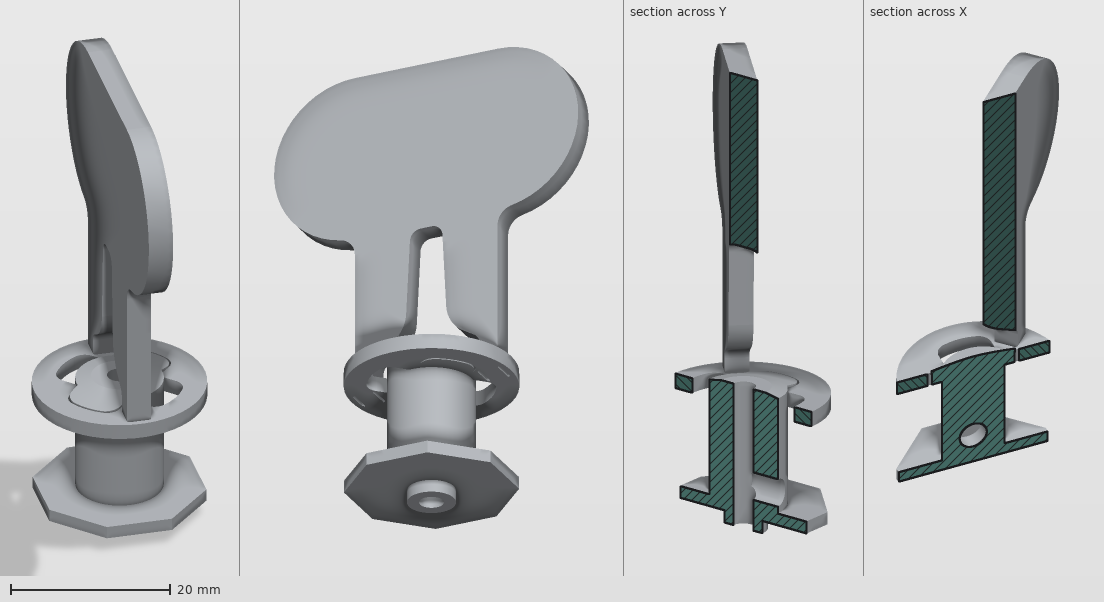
import cadquery as cq
import math


FOOT_RADIUS = 3.1
FLANGE_BOTTOM = 1.65
FLANGE_THICKNESS = 1.65
FLANGE_SIDES = 8
FLANGE_ACROSS_FLATS = 20.35
SHANK_RADIUS = 5.6
BORE_RADIUS = 1.6
CROWN_TOP = 19.0
CROWN_FLAT_RADIUS = 3.6
CROWN_EDGE_RISE = 0.05
LOBE_REACH = 7.95
LOBE_CORNER_RADIUS = 2.25
SIDE_HOLE_RADIUS = 1.8
SIDE_HOLE_HEIGHT = 6.0

LOBE_WIDTH = 7.15

WASHER_RADIUS = 11.0
WASHER_BOTTOM = 16.2
WASHER_THICKNESS = 2.0
OPENING_REACH = 8.2
OPENING_CORNER_RADIUS = 1.8
LEG_SLOT_CLEARANCE = 0.35
LEG_SLOT_CORNER_RADIUS = LEG_SLOT_CLEARANCE

HANDLE_ANGLE = -45
HANDLE_THICKNESS = 3.15
HANDLE_TOP = 60.6
HEAD_WIDTH = 42.2
HEAD_RADIUS = 11.2
NECK_FILLET = 2.4
GAP_TOP = 37.7
GAP_TOP_HALF_WIDTH = 2.2
GAP_TOP_FILLET = 1.5
GAP_WAIST_HALF_WIDTH = 2.9
GAP_WAIST_HEIGHT = 23.55
GAP_WAIST_FILLET = 4.85
GAP_FOOT_HALF_WIDTH = 7.4
GAP_SHOULDER_HEIGHT = 20.9
GAP_SHOULDER_FILLET = 1.45

FLANGE_TOP = FLANGE_BOTTOM + FLANGE_THICKNESS
WASHER_TOP = WASHER_BOTTOM + WASHER_THICKNESS
CROWN_EDGE = WASHER_TOP + CROWN_EDGE_RISE
LEG_OUTER = HEAD_WIDTH / 2 - HEAD_RADIUS
LEG_WIDTH = LEG_OUTER - GAP_FOOT_HALF_WIDTH
LEG_MIDDLE = LEG_OUTER - LEG_WIDTH / 2


def cylinder(radius, bottom, top):
    """Upright cylinder on the Z axis."""
    return cq.Workplane("XY").workplane(offset=bottom).circle(radius).extrude(top - bottom)


def lobe_bar(reach, corner_radius, bottom, top):
    """Bar along Y that ends in a round-cornered lobe on each side of the Z axis."""
    strip = cq.Workplane("XY").workplane(offset=bottom).rect(LOBE_WIDTH, 2 * reach).extrude(top - bottom)
    return (
        cylinder(reach, bottom, top)
        .intersect(strip)
        .edges("|Z")
        .fillet(corner_radius)
    )


def turned(body):
    """Turn a body from the XZ plane to the handle's direction."""
    return body.rotate((0, 0, 0), (0, 0, 1), HANDLE_ANGLE)


def make_lobed_head():
    """Top of the stud: two lobes that fill the washer's thickness, under a shallow cone."""
    lobes = lobe_bar(LOBE_REACH, LOBE_CORNER_RADIUS, WASHER_BOTTOM, CROWN_TOP)
    crown = (
        cq.Workplane("XZ")
        .moveTo(0, WASHER_BOTTOM)
        .lineTo(LOBE_REACH, WASHER_BOTTOM)
        .lineTo(LOBE_REACH, CROWN_EDGE)
        .lineTo(CROWN_FLAT_RADIUS, CROWN_TOP)
        .lineTo(0, CROWN_TOP)
        .close()
        .revolve(360, (0, 0, 0), (0, 1, 0))
    )
    return cylinder(SHANK_RADIUS, WASHER_BOTTOM, CROWN_TOP).union(lobes).intersect(crown)


def make_stud():
    flange_corner_radius = FLANGE_ACROSS_FLATS / 2 / math.cos(math.pi / FLANGE_SIDES)
    flange = (
        cq.Workplane("XY")
        .workplane(offset=FLANGE_BOTTOM)
        .transformed(rotate=(0, 0, 180 / FLANGE_SIDES))
        .polygon(FLANGE_SIDES, 2 * flange_corner_radius)
        .extrude(FLANGE_THICKNESS)
    )
    side_hole = (
        cq.Workplane("YZ")
        .center(0, SIDE_HOLE_HEIGHT)
        .circle(SIDE_HOLE_RADIUS)
        .extrude(-SHANK_RADIUS)
    )
    return (
        cylinder(FOOT_RADIUS, 0, FLANGE_BOTTOM)
        .union(flange)
        .union(cylinder(SHANK_RADIUS, FLANGE_TOP, WASHER_BOTTOM))
        .union(make_lobed_head())
        .cut(cylinder(BORE_RADIUS, 0, CROWN_TOP))
        .cut(side_hole)
    )


def make_washer():
    leg_slots = (
        cq.Workplane("XY")
        .workplane(offset=WASHER_BOTTOM)
        .pushPoints([(-LEG_MIDDLE, 0), (LEG_MIDDLE, 0)])
        .rect(LEG_WIDTH + 2 * LEG_SLOT_CLEARANCE, HANDLE_THICKNESS)
        .extrude(WASHER_THICKNESS)
        .edges("|Z")
        .fillet(LEG_SLOT_CORNER_RADIUS)
    )
    arms = lobe_bar(OPENING_REACH, OPENING_CORNER_RADIUS, WASHER_BOTTOM, WASHER_TOP)
    cross_arms = arms.rotate((0, 0, 0), (0, 0, 1), 90)
    return (
        cylinder(WASHER_RADIUS, WASHER_BOTTOM, WASHER_TOP)
        .cut(cylinder(SHANK_RADIUS, WASHER_BOTTOM, WASHER_TOP))
        .cut(arms)
        .cut(cross_arms)
        .cut(turned(leg_slots))
    )


def make_handle_blank():
    """Head and legs as one plate, before the gap between the legs is cut."""
    head_middle = HANDLE_TOP - HEAD_RADIUS
    centre_distance = HEAD_RADIUS + NECK_FILLET
    neck_drop = math.sqrt(centre_distance**2 - NECK_FILLET**2)
    neck_bottom = head_middle - neck_drop
    meet_x = LEG_OUTER + NECK_FILLET * HEAD_RADIUS / centre_distance
    meet_z = head_middle - neck_drop * HEAD_RADIUS / centre_distance
    fillet_middle_angle = math.pi - math.acos(NECK_FILLET / centre_distance) / 2
    fillet_middle_x = LEG_OUTER + NECK_FILLET + NECK_FILLET * math.cos(fillet_middle_angle)
    fillet_middle_z = neck_bottom + NECK_FILLET * math.sin(fillet_middle_angle)
    return (
        cq.Workplane("XZ")
        .moveTo(-LEG_OUTER, WASHER_BOTTOM)
        .lineTo(LEG_OUTER, WASHER_BOTTOM)
        .lineTo(LEG_OUTER, neck_bottom)
        .threePointArc((fillet_middle_x, fillet_middle_z), (meet_x, meet_z))
        .threePointArc((HEAD_WIDTH / 2, head_middle), (LEG_OUTER, HANDLE_TOP))
        .lineTo(-LEG_OUTER, HANDLE_TOP)
        .threePointArc((-HEAD_WIDTH / 2, head_middle), (-meet_x, meet_z))
        .threePointArc((-fillet_middle_x, fillet_middle_z), (-LEG_OUTER, neck_bottom))
        .close()
        .extrude(HANDLE_THICKNESS / 2, both=True)
    )


def make_leg_gap():
    """Bottle-shaped gap between the legs, open at the bottom."""
    right_side = [
        (GAP_FOOT_HALF_WIDTH, WASHER_BOTTOM),
        (GAP_FOOT_HALF_WIDTH, GAP_SHOULDER_HEIGHT),
        (GAP_WAIST_HALF_WIDTH, GAP_WAIST_HEIGHT),
        (GAP_TOP_HALF_WIDTH, GAP_TOP),
    ]
    left_side = [(-x, z) for x, z in reversed(right_side)]
    gap = (
        cq.Workplane("XZ")
        .polyline(right_side + left_side)
        .close()
        .extrude(HANDLE_THICKNESS / 2, both=True)
    )
    corner_fillets = [
        (GAP_SHOULDER_HEIGHT, GAP_SHOULDER_FILLET),
        (GAP_WAIST_HEIGHT, GAP_WAIST_FILLET),
        (GAP_TOP, GAP_TOP_FILLET),
    ]
    margin = 0.05
    for height, radius in corner_fillets:
        corners = cq.selectors.BoxSelector(
            (-HEAD_WIDTH, -HANDLE_THICKNESS, height - margin),
            (HEAD_WIDTH, HANDLE_THICKNESS, height + margin),
        )
        gap = gap.edges("|Y").edges(corners).fillet(radius)
    return gap


def make_handle():
    return turned(make_handle_blank().cut(make_leg_gap()))


stud = make_stud().solids()
washer = make_washer().solids()
handle = make_handle().solids()

result = cq.Compound.makeCompound([stud.val(), washer.val(), handle.val()])